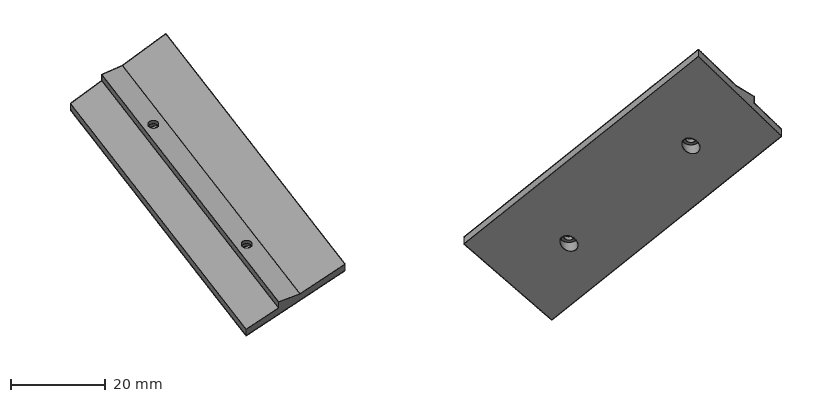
import cadquery as cq

back_width = 77.05
front_width = 75.5
depth = 23.5
height = 10.55

plate_thickness = 2.0
ledge_front = 7.7
ledge_back = 12.8

hole_diameter = 2.2
hole_spacing = 40.1
hole_from_front = 10.1
head_bore_diameter = 3.8
seat_thickness = 1.0

rise = height - plate_thickness
slope = rise / depth


def plate_top(y):
    """Height of the sloping upper face at distance y from the front edge."""
    return plate_thickness + slope * y


ledge_height = plate_top(ledge_back)


def profile_bar():
    """Side profile of plate and ledge, extruded along X to the full width."""
    return (
        cq.Workplane("YZ")
        .moveTo(0, 0)
        .lineTo(depth, rise)
        .lineTo(depth, height)
        .lineTo(ledge_back, ledge_height)
        .lineTo(ledge_front, ledge_height)
        .lineTo(ledge_front, plate_top(ledge_front))
        .lineTo(0, plate_thickness)
        .close()
        .extrude(back_width / 2, both=True)
    )


def tapered_outline():
    """Upright block whose plan narrows from the back edge to the front edge."""
    return (
        cq.Workplane("XY")
        .polyline([
            (-front_width / 2, 0),
            (front_width / 2, 0),
            (back_width / 2, depth),
            (-back_width / 2, depth),
        ])
        .close()
        .extrude(height)
    )


def hole_pins(diameter, pin_height):
    """Two vertical pins at the screw positions, rising from the base plane."""
    return (
        cq.Workplane("XY")
        .pushPoints([(side * hole_spacing / 2, hole_from_front) for side in (-1, 1)])
        .circle(diameter / 2)
        .extrude(pin_height)
    )


screw_holes = hole_pins(hole_diameter, height)
head_bores = hole_pins(head_bore_diameter, ledge_height - seat_thickness)

result = profile_bar().intersect(tapered_outline()).cut(screw_holes).cut(head_bores)